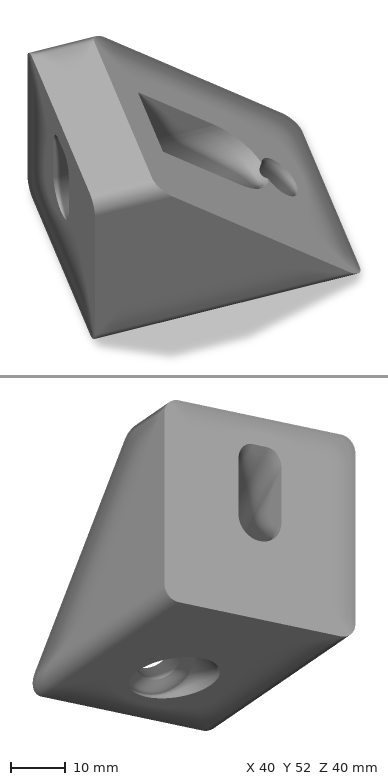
import cadquery as cq
import math


width = 40.0
height = 40.0
top_depth = 12.0
base_depth = top_depth + height
corner_radius = 3.0

screw_hole_diameter = 9.0
head_diameter = 15.0

screw_height = height / 2
plate_thickness = 17.2
roof_angle = 30.0
roof_height_at_front = 34.4
roof_corner_radius = 3.0

slope_screw_height = 9.9
slope_screw_y = base_depth - slope_screw_height
slope_wall_thickness = 5.0

past_body = base_depth + height


def make_body():
    profile = [(0, 0), (base_depth, 0), (top_depth, height), (0, height)]
    wedge = cq.Workplane("YZ").polyline(profile).close().extrude(width / 2, both=True)
    rounded_bar = (
        cq.Workplane("XY")
        .box(width, base_depth, height, centered=(True, False, False))
        .edges("|Y")
        .fillet(corner_radius)
    )
    return wedge.intersect(rounded_bar)


def make_cylinder(start, direction, diameter, length):
    return cq.Workplane(
        cq.Solid.makeCylinder(diameter / 2, length, cq.Vector(*start), cq.Vector(*direction))
    )


def make_head_pocket():
    """U-shaped pocket behind the front plate, open upwards and towards the slope."""
    start = (0, plate_thickness, screw_height)
    round_bottom = make_cylinder(start, (0, 1, 0), head_diameter, past_body)
    open_top = (
        cq.Workplane("XY")
        .box(head_diameter, past_body, height, centered=(True, False, False))
        .translate(start)
    )
    return round_bottom.union(open_top)


def make_front_slot():
    """Round hole through the plate, widened upwards below a tilted roof with rounded corners."""
    hole = make_cylinder((0, 0, screw_height), (0, 1, 0), screw_hole_diameter, plate_thickness)
    tilted_bar = (
        cq.Workplane("XY")
        .box(screw_hole_diameter, 2 * past_body, height)
        .edges("|Y and >Z")
        .fillet(roof_corner_radius)
        .translate((0, 0, -height / 2))
        .rotate((0, 0, 0), (1, 0, 0), -roof_angle)
        .translate((0, 0, roof_height_at_front))
    )
    above_hole_axis = (
        cq.Workplane("XY")
        .box(screw_hole_diameter, plate_thickness, height, centered=(True, False, False))
        .translate((0, 0, screw_height))
    )
    return hole.union(tilted_bar.intersect(above_hole_axis))


def make_slope_screw_hole():
    """Hole square to the slope, opening into a head counterbore that leaves through the underside."""
    unit = math.sqrt(0.5)
    inward = (0, -unit, -unit)
    mouth = (0, slope_screw_y, slope_screw_height)
    seat = (
        0,
        slope_screw_y - slope_wall_thickness * unit,
        slope_screw_height - slope_wall_thickness * unit,
    )
    hole = make_cylinder(mouth, inward, screw_hole_diameter, slope_wall_thickness)
    counterbore = make_cylinder(seat, inward, head_diameter, past_body)
    return hole.union(counterbore)


result = (
    make_body()
    .cut(make_head_pocket())
    .cut(make_front_slot())
    .cut(make_slope_screw_hole())
)